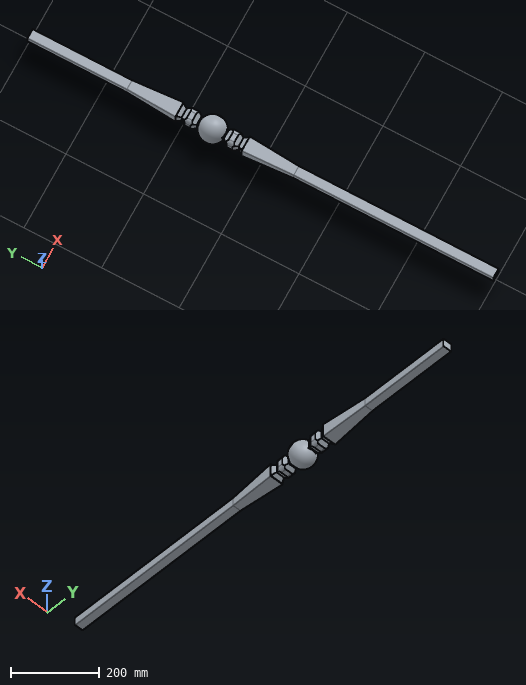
import cadquery as cq

total_length = 1200.0
ball_diameter = 70.0
short_reach = 470.0
bar_width = 25.0
bar_edge_radius = 1.0
collar_width = 40.0
neck_width = 24.0
foot_width = 37.0
taper_start = 85.0
taper_length = 130.0
bead_band = 15.0
bead_slope = 12.0
bead_corner_radius = 11.0

long_reach = total_length - short_reach
taper_end = taper_start + taper_length
bead_end = taper_start - bead_slope
band_end = bead_end - bead_slope
band_start = band_end - bead_band
bead_start = band_start - bead_slope


def square_section(width, corner_radius):
    """Square outline, with rounded corners when a radius is given."""
    outline = cq.Sketch().rect(width, width)
    if corner_radius > 0:
        outline = outline.vertices().fillet(corner_radius)
    return outline


def square_length(start, end, start_width, end_width, corner_radius=0.0):
    """Square length along +Y that changes evenly between two widths."""
    end_location = cq.Location(cq.Vector(0, 0, start - end))
    start_section = square_section(start_width, corner_radius)
    end_section = square_section(end_width, corner_radius).moved(end_location)
    return (
        cq.Workplane("XZ", origin=(0, start, 0))
        .placeSketch(start_section, end_section)
        .loft(ruled=True)
    )


def bead_and_foot():
    """Square bead with sloping ends, then the sloping foot of the taper, both round-cornered."""
    inner_slope = square_length(bead_start, band_start, neck_width, collar_width)
    band = square_length(band_start, band_end, collar_width, collar_width)
    outer_slope = square_length(band_end, bead_end, collar_width, neck_width)
    foot = square_length(bead_end, taper_start, neck_width, foot_width)
    sharp_body = inner_slope.union(band).union(outer_slope).union(foot)
    rounded_collar = square_length(
        bead_start, taper_start, collar_width, collar_width, bead_corner_radius
    )
    return sharp_body.intersect(rounded_collar)


def taper_and_bar(reach):
    """Taper running into a plain bar, with all long edges rounded."""
    taper = square_length(taper_start, taper_end, collar_width, bar_width, bar_edge_radius)
    bar = square_length(taper_end, reach, bar_width, bar_width, bar_edge_radius)
    return taper.union(bar)


def arm(reach):
    """One side of the baluster along +Y, from the ball centre to the bar end."""
    core = square_length(0, bead_start, neck_width, neck_width)
    return core.union(bead_and_foot()).union(taper_and_bar(reach))


ball = cq.Workplane("XY").sphere(ball_diameter / 2)
short_arm = arm(short_reach)
long_arm = arm(long_reach).mirror("XZ")
result = ball.union(short_arm).union(long_arm)